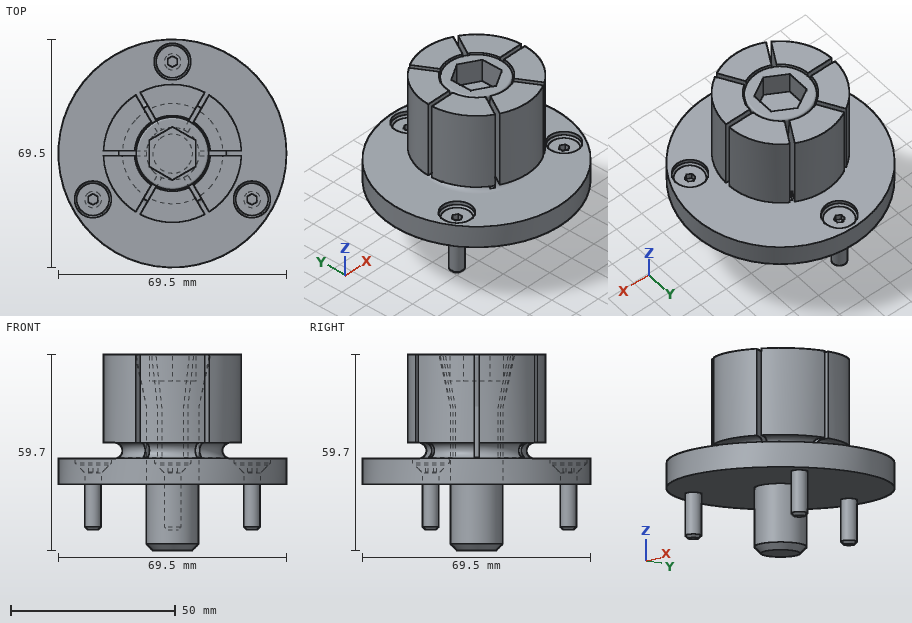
import cadquery as cq
import math


flange_diameter = 69.5
flange_thickness = 7.85
neck_height = 4.8
neck_radius = 15.3
collar_diameter = 42.0
collar_height = 26.9
neck_groove_radius = neck_height / 2
neck_bottom = flange_thickness
collar_bottom = neck_bottom + neck_height
collar_top = collar_bottom + collar_height

slot_count = 6
slot_width = 1.5
slot_floor_gap = 0.4
slot_floor = flange_thickness + slot_floor_gap

shank_diameter = 16.0
shank_bottom = -20.15
shank_chamfer = 2.0
taper_length = 15.9
taper_top_radius = 11.2
bore_top_radius = 11.55
screw_edge_radius = 0.7
hex_flats = 14.05
hex_depth = 8.05
taper_bottom = collar_top - taper_length
shank_radius = shank_diameter / 2

bolt_count = 3
bolt_circle_radius = 27.95
first_bolt_angle = 90
bolt_diameter = 5.0
bolt_head_diameter = 9.9
bolt_bottom = -13.8
bolt_chamfer = 0.9
bolt_hex_flats = 2.9
bolt_hex_depth = 2.1
recess_diameter = 11.2
recess_depth = 1.25
bolt_radius = bolt_diameter / 2
bolt_head_radius = bolt_head_diameter / 2
recess_radius = recess_diameter / 2
cone_top = flange_thickness - recess_depth
bolt_top = cone_top - (recess_radius - bolt_head_radius)
cone_bottom = cone_top - (recess_radius - bolt_radius)


def turned(profile):
    """Solid of revolution about Z from a closed half profile drawn as (radius, height)."""
    return profile.close().revolve(360, (0, 0, 0), (0, 1, 0))


def hex_socket(across_flats, top, depth):
    """Hexagonal prism hanging from height top, with two corners on the Y axis."""
    corner_diameter = across_flats / math.cos(math.pi / 6)
    prism = cq.Workplane("XY").polygon(6, corner_diameter).extrude(depth)
    return prism.rotate((0, 0, 0), (0, 0, 1), 90).translate((0, 0, top - depth))


def bolt_positions():
    """Centres of the mounting screws on their bolt circle."""
    angles = [math.radians(first_bolt_angle + i * 360 / bolt_count) for i in range(bolt_count)]
    return [(bolt_circle_radius * math.cos(a), bolt_circle_radius * math.sin(a), 0) for a in angles]


def make_collar_blank():
    """Flange, half-round neck groove and collar as one turned shape."""
    groove_edge_radius = neck_radius + neck_groove_radius
    return turned(
        cq.Workplane("XZ")
        .lineTo(flange_diameter / 2, 0)
        .lineTo(flange_diameter / 2, neck_bottom)
        .lineTo(groove_edge_radius, neck_bottom)
        .threePointArc((neck_radius, neck_bottom + neck_groove_radius), (groove_edge_radius, collar_bottom))
        .lineTo(collar_diameter / 2, collar_bottom)
        .lineTo(collar_diameter / 2, collar_top)
        .lineTo(0, collar_top)
    )


def make_tapered_bore():
    """Straight hole for the shank, opening into a cone up to the collar top."""
    return turned(
        cq.Workplane("XZ")
        .lineTo(shank_radius, 0)
        .lineTo(shank_radius, taper_bottom)
        .lineTo(bore_top_radius, collar_top)
        .lineTo(0, collar_top)
    )


def make_slot(angle):
    """Radial slot from the axis outward, open at the collar top."""
    return (
        cq.Workplane("XY")
        .box(flange_diameter / 2, slot_width, collar_top - slot_floor, centered=(False, True, False))
        .translate((0, 0, slot_floor))
        .rotate((0, 0, 0), (0, 0, 1), angle)
    )


def make_bolt_hole():
    """Through hole with a 90 degree countersink below a straight recess."""
    return turned(
        cq.Workplane("XZ")
        .lineTo(bolt_radius, 0)
        .lineTo(bolt_radius, cone_bottom)
        .lineTo(recess_radius, cone_top)
        .lineTo(recess_radius, flange_thickness)
        .lineTo(0, flange_thickness)
    )


def make_collar():
    """Flanged collar with its bore, slots and mounting holes."""
    body = make_collar_blank().cut(make_tapered_bore())
    for i in range(slot_count):
        body = body.cut(make_slot(i * 360 / slot_count))
    for position in bolt_positions():
        body = body.cut(make_bolt_hole().translate(position))
    return body


def make_centre_screw():
    """Tapered screw with a rounded top edge, a chamfered end and a hex socket."""
    body = turned(
        cq.Workplane("XZ")
        .moveTo(0, shank_bottom)
        .lineTo(shank_radius - shank_chamfer, shank_bottom)
        .lineTo(shank_radius, shank_bottom + shank_chamfer)
        .lineTo(shank_radius, taper_bottom)
        .lineTo(taper_top_radius, collar_top)
        .lineTo(0, collar_top)
    )
    body = body.faces(">Z").edges().fillet(screw_edge_radius)
    return body.cut(hex_socket(hex_flats, collar_top, hex_depth))


def make_mounting_screw():
    """Flat-head screw on the Z axis, with a chamfered end and a hex socket."""
    body = turned(
        cq.Workplane("XZ")
        .moveTo(0, bolt_bottom)
        .lineTo(bolt_radius - bolt_chamfer, bolt_bottom)
        .lineTo(bolt_radius, bolt_bottom + bolt_chamfer)
        .lineTo(bolt_radius, cone_bottom)
        .lineTo(bolt_head_radius, bolt_top)
        .lineTo(0, bolt_top)
    )
    return body.cut(hex_socket(bolt_hex_flats, bolt_top, bolt_hex_depth))


collar = make_collar().solids()
centre_screw = make_centre_screw().solids()
mounting_screws = [make_mounting_screw().solids().translate(position) for position in bolt_positions()]

result = cq.Compound.makeCompound(
    [collar.val(), centre_screw.val(), *[screw.val() for screw in mounting_screws]]
)